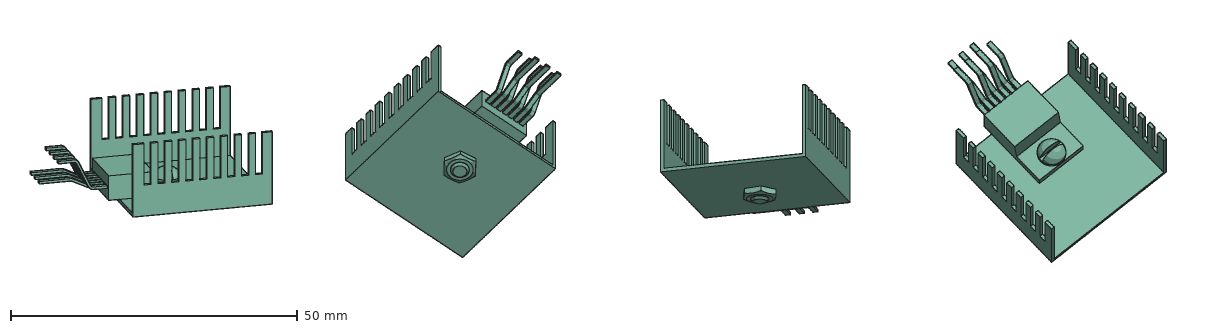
import cadquery as cq
import math

OVERALL_LENGTH = 39.37
SINK_WIDTH = 26.65
SINK_LENGTH = 25.4
WALL_HEIGHT = 13.35
SHEET = 0.63
FIN_SLOTS = 9
FIN_SLOT_WIDTH = 1.3
FIN_SLOT_DEPTH = 7.6
REAR_FIN = 1.77
FRONT_FIN = 2.0

PACKAGE_WIDTH = 10.15
PACKAGE_HEIGHT = 4.53
PACKAGE_FRONT = -2.0
BODY_BACK = 6.15
STEP_SLOPE = 0.5
TAB_BACK = 12.7
TAB_HEIGHT = 1.3

LEAD_PITCH = 1.25
LEAD_WIDTH = 0.9
LEAD_THICKNESS = 0.47
LEAD_BOTTOM = 2.6
LEAD_BEND = -5.15
BEND_INNER_RADIUS = 0.47
LEAD_ROOT = 0.4
HIGH_LEAD_BOTTOM = 7.9
HIGH_LEAD_BEND = -7.7
HIGH_LEAD_END = -10.9
LOW_LEAD_BOTTOM = 4.1
LOW_LEAD_BEND = -8.2
LOW_LEAD_END = SINK_LENGTH - OVERALL_LENGTH

SCREW_Y = 10.1
HEAD_RADIUS = 2.5
HEAD_SLOT_WIDTH = 0.75
HEAD_RIM = 0.5
HEAD_DOME = 1.75
SHANK_RADIUS = 1.65
SHANK_BOTTOM = -1.77
TIP_CHAMFER = 0.45
NUT_CORNER_RADIUS = 3.2
NUT_HEIGHT = 1.25
NUT_CHAMFER_HEIGHT = 0.4
NUT_FACE_RADIUS = 2.32
NUT_TURN = -8.0


def make_heat_sink():
    """U-shaped sheet with slots that divide both walls into fins."""
    sink = cq.Workplane("XY").box(SINK_WIDTH, SINK_LENGTH, WALL_HEIGHT, centered=(True, False, False))
    channel = cq.Workplane("XY").box(
        SINK_WIDTH - 2 * SHEET, SINK_LENGTH, WALL_HEIGHT, centered=(True, False, False)
    )
    sink = sink.cut(channel.translate((0, 0, SHEET)))

    first_slot = FRONT_FIN + FIN_SLOT_WIDTH / 2
    last_slot = SINK_LENGTH - REAR_FIN - FIN_SLOT_WIDTH / 2
    slot_pitch = (last_slot - first_slot) / (FIN_SLOTS - 1)
    slot = cq.Workplane("XY").box(
        SINK_WIDTH, FIN_SLOT_WIDTH, FIN_SLOT_DEPTH, centered=(True, True, False)
    )
    for i in range(FIN_SLOTS):
        slot_y = first_slot + i * slot_pitch
        sink = sink.cut(slot.translate((0, slot_y, WALL_HEIGHT - FIN_SLOT_DEPTH)))
    return sink


def extrude_profile(points, width, x):
    """Extrude a (Y, Z) outline to the given width, centred on x."""
    return cq.Workplane("YZ").polyline(points).close().extrude(width / 2, both=True).translate((x, 0, 0))


def make_package():
    """Thick body with a sloped step down to the mounting tab."""
    tab_top = SHEET + TAB_HEIGHT
    body_top = SHEET + PACKAGE_HEIGHT
    outline = [
        (PACKAGE_FRONT, SHEET),
        (TAB_BACK, SHEET),
        (TAB_BACK, tab_top),
        (BODY_BACK + STEP_SLOPE, tab_top),
        (BODY_BACK, body_top),
        (PACKAGE_FRONT, body_top),
    ]
    return extrude_profile(outline, PACKAGE_WIDTH, 0)


def make_lead(x, bend_y, end_y, end_bottom):
    """Lead of constant thickness that rises between two bends."""
    rise_angle = math.atan2(end_bottom - LEAD_BOTTOM, LEAD_BEND - bend_y)
    miter_shift = LEAD_THICKNESS * math.tan(rise_angle / 2)
    root_y = PACKAGE_FRONT + LEAD_ROOT
    outline = [
        (root_y, LEAD_BOTTOM),
        (LEAD_BEND, LEAD_BOTTOM),
        (bend_y, end_bottom),
        (end_y, end_bottom),
        (end_y, end_bottom + LEAD_THICKNESS),
        (bend_y + miter_shift, end_bottom + LEAD_THICKNESS),
        (LEAD_BEND + miter_shift, LEAD_BOTTOM + LEAD_THICKNESS),
        (root_y, LEAD_BOTTOM + LEAD_THICKNESS),
    ]
    lead = extrude_profile(outline, LEAD_WIDTH, x)

    outer_radius = BEND_INNER_RADIUS + LEAD_THICKNESS
    lower_outer, upper_inner = outline[1], outline[2]
    upper_outer, lower_inner = outline[5], outline[6]
    for corner in (lower_inner, upper_inner):
        lead = lead.edges(cq.selectors.NearestToPointSelector((x, *corner))).fillet(BEND_INNER_RADIUS)
    for corner in (lower_outer, upper_outer):
        lead = lead.edges(cq.selectors.NearestToPointSelector((x, *corner))).fillet(outer_radius)
    return lead


def make_screw():
    """Slotted round-head screw: a dome on a short rim, slotted down to the rim, and a chamfered tip."""
    head_base = SHEET + TAB_HEIGHT
    shank = (
        cq.Workplane("XY", origin=(0, 0, SHANK_BOTTOM))
        .circle(SHANK_RADIUS)
        .extrude(head_base - SHANK_BOTTOM)
        .faces("<Z")
        .chamfer(TIP_CHAMFER)
    )
    dome_radius = (HEAD_RADIUS**2 + HEAD_DOME**2) / (2 * HEAD_DOME)
    arc_angle = math.asin(HEAD_RADIUS / dome_radius) / 2
    dome_center = HEAD_RIM + HEAD_DOME - dome_radius
    arc_middle = (dome_radius * math.sin(arc_angle), dome_center + dome_radius * math.cos(arc_angle))
    head = (
        cq.Workplane("XZ")
        .lineTo(HEAD_RADIUS, 0)
        .lineTo(HEAD_RADIUS, HEAD_RIM)
        .threePointArc(arc_middle, (0, HEAD_RIM + HEAD_DOME))
        .close()
        .revolve(360, (0, 0, 0), (0, 1, 0))
    )
    slot = cq.Workplane("XY").box(
        2 * HEAD_RADIUS, HEAD_SLOT_WIDTH, HEAD_DOME, centered=(True, True, False)
    )
    head = head.cut(slot.translate((0, 0, HEAD_RIM)))
    return shank.union(head.translate((0, 0, head_base))).translate((0, SCREW_Y, 0))


def make_nut():
    """Hexagonal nut whose lower corners are trimmed by a cone."""
    hexagon = (
        cq.Workplane("XY")
        .polygon(6, 2 * NUT_CORNER_RADIUS)
        .extrude(-NUT_HEIGHT)
        .rotate((0, 0, 0), (0, 0, 1), NUT_TURN)
    )
    trim = (
        cq.Workplane("XZ")
        .polyline([
            (0, 0),
            (NUT_CORNER_RADIUS, 0),
            (NUT_CORNER_RADIUS, NUT_CHAMFER_HEIGHT - NUT_HEIGHT),
            (NUT_FACE_RADIUS, -NUT_HEIGHT),
            (0, -NUT_HEIGHT),
        ])
        .close()
        .revolve(360, (0, 0, 0), (0, 1, 0))
    )
    return hexagon.intersect(trim).translate((0, SCREW_Y, 0))


result = make_heat_sink().union(make_package()).union(make_screw()).union(make_nut())

for position in range(-3, 4):
    lead_x = position * LEAD_PITCH
    if position % 2:
        lead = make_lead(lead_x, HIGH_LEAD_BEND, HIGH_LEAD_END, HIGH_LEAD_BOTTOM)
    else:
        lead = make_lead(lead_x, LOW_LEAD_BEND, LOW_LEAD_END, LOW_LEAD_BOTTOM)
    result = result.union(lead)